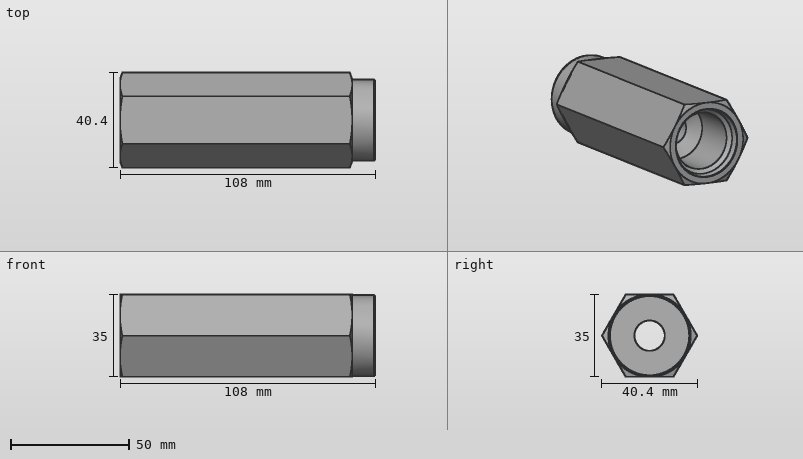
import cadquery as cq
import math

overall_length = 108.0
hex_across_corners = 40.4
hex_across_flats = hex_across_corners * math.cos(math.radians(30))
hex_length = 98.2
hex_corner_chamfer_angle = 20.0

collar_diameter = 34.5
collar_chamfer = 0.5

mouth_radius = 14.8
mouth_chamfer = 0.2
seal_seat_depth = 3.2
seal_seat_end_radius = 13.9
thread_radius = 12.2
thread_depth = 27.0
thread_lead_in_angle = 45.0

flow_radius = 6.4
funnel_half_angle = 59.0


def hex_body():
    """Hexagonal bar with two level flats and its corners turned down at both ends."""
    bar = cq.Workplane("YZ").polygon(6, hex_across_corners).extrude(hex_length)
    flat_radius = hex_across_flats / 2
    corner_radius = hex_across_corners / 2
    setback = (corner_radius - flat_radius) * math.tan(math.radians(hex_corner_chamfer_angle))
    turned_envelope = (
        cq.Workplane("XY")
        .moveTo(0, 0)
        .lineTo(0, flat_radius)
        .lineTo(setback, corner_radius)
        .lineTo(hex_length - setback, corner_radius)
        .lineTo(hex_length, flat_radius)
        .lineTo(hex_length, 0)
        .close()
        .revolve(360, (0, 0, 0), (1, 0, 0))
    )
    return bar.intersect(turned_envelope)


def collar():
    """Round collar beyond the hexagon, chamfered at its free end."""
    return (
        cq.Workplane("YZ")
        .workplane(offset=hex_length)
        .circle(collar_diameter / 2)
        .extrude(overall_length - hex_length)
        .faces(">X")
        .chamfer(collar_chamfer)
    )


def cone_length(large_radius, small_radius, half_angle):
    """Axial length of a cone narrowing between two radii at the given half angle."""
    return (large_radius - small_radius) / math.tan(math.radians(half_angle))


def flow_passage():
    """Inlet port with a tapered seal seat and thread bore, funnelling into the through bore."""
    lead_in_length = cone_length(seal_seat_end_radius, thread_radius, thread_lead_in_angle)
    funnel_length = cone_length(thread_radius, flow_radius, funnel_half_angle)
    return (
        cq.Workplane("XY")
        .moveTo(0, 0)
        .lineTo(0, mouth_radius)
        .lineTo(mouth_chamfer, mouth_radius - mouth_chamfer)
        .lineTo(seal_seat_depth, seal_seat_end_radius)
        .lineTo(seal_seat_depth + lead_in_length, thread_radius)
        .lineTo(thread_depth, thread_radius)
        .lineTo(thread_depth + funnel_length, flow_radius)
        .lineTo(overall_length, flow_radius)
        .lineTo(overall_length, 0)
        .close()
        .revolve(360, (0, 0, 0), (1, 0, 0))
    )


result = hex_body().union(collar()).cut(flow_passage())